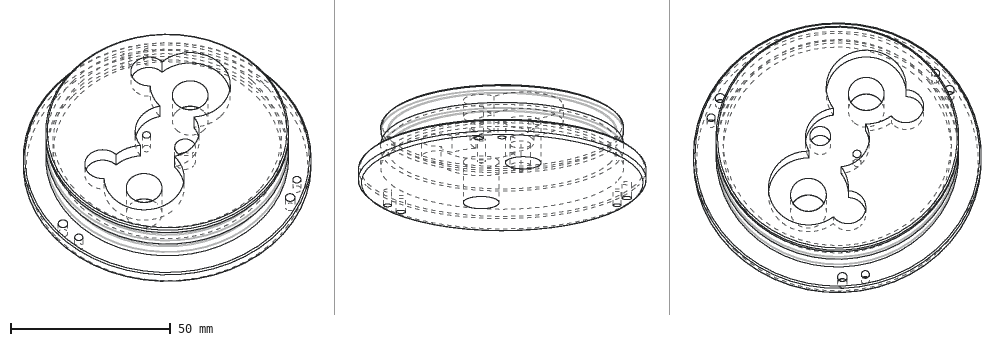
import cadquery as cq
import math

FLANGE_DIAMETER = 90.0
RIDGE_DIAMETER = 76.0
GROOVE_DIAMETER = 71.4
TOTAL_HEIGHT = 19.0
RIDGE_HEIGHT = 2.0
GROOVE_HEIGHT = 4.05
GROOVE_COUNT = 2
FLANGE_HEIGHT = TOTAL_HEIGHT - RIDGE_HEIGHT - GROOVE_COUNT * (RIDGE_HEIGHT + GROOVE_HEIGHT)
FLANGE_BOTTOM_CHAMFER = 1.0
TOP_CHAMFER = 0.5
GROOVE_FLOOR_FILLET = 0.3
RIDGE_EDGE_FILLET = 0.2

POCKET_DEPTH = 5.5
POCKET_FLOOR = TOTAL_HEIGHT - POCKET_DEPTH
PORT_OFFSET_Y = 19.35
PORT_POCKET_DIAMETER = 25.0
PORT_HOLE_DIAMETER = 11.2
SIDE_LOBE_DIAMETER = 11.2
SIDE_LOBE_X = -13.95
CENTER_POCKET_DIAMETER = 20.0

LARGE_DRILL_DIAMETER = 6.5
LARGE_DRILL_X = 6.0
SMALL_DRILL_DIAMETER = 2.5
SMALL_DRILL_X = -6.9
DRILL_DEPTH = 7.2
DRILL_POINT_ANGLE = 118.0

FLANGE_HOLE_RADIUS = 41.4
FLANGE_HOLE_PAIRS = 3
FASTENER_DIAMETER = 3.0
PIN_DIAMETER = 2.5
PIN_ANGLE = 10.0


def cylinder(diameter, x, y, bottom, top):
    """Vertical cylinder between two heights."""
    return cq.Workplane("XY", origin=(x, y, bottom)).circle(diameter / 2).extrude(top - bottom)


def make_body():
    flange = cylinder(FLANGE_DIAMETER, 0, 0, 0, FLANGE_HEIGHT)
    flange = flange.faces("<Z").chamfer(FLANGE_BOTTOM_CHAMFER)
    flange = flange.faces(">Z").chamfer(TOP_CHAMFER)
    plug = cylinder(RIDGE_DIAMETER, 0, 0, FLANGE_HEIGHT, TOTAL_HEIGHT)
    plug = plug.faces(">Z").chamfer(TOP_CHAMFER)
    for index in range(GROOVE_COUNT):
        bottom = FLANGE_HEIGHT + RIDGE_HEIGHT + index * (RIDGE_HEIGHT + GROOVE_HEIGHT)
        plug = plug.cut(make_groove_ring(bottom))
    return flange.union(plug)


def make_groove_ring(bottom):
    """Ring of removed material, rounded at the groove floor and flared at its mouth."""
    floor_radius = GROOVE_DIAMETER / 2
    mouth_radius = RIDGE_DIAMETER / 2
    top = bottom + GROOVE_HEIGHT
    inner = GROOVE_FLOOR_FILLET
    edge = RIDGE_EDGE_FILLET
    inner_sag = inner * (1 - math.sqrt(0.5))
    edge_sag = edge * (1 - math.sqrt(0.5))
    return (
        cq.Workplane("XZ")
        .moveTo(floor_radius, bottom + inner)
        .threePointArc((floor_radius + inner_sag, bottom + inner_sag), (floor_radius + inner, bottom))
        .lineTo(mouth_radius - edge, bottom)
        .threePointArc((mouth_radius - edge_sag, bottom - edge_sag), (mouth_radius, bottom - edge))
        .lineTo(mouth_radius, top + edge)
        .threePointArc((mouth_radius - edge_sag, top + edge_sag), (mouth_radius - edge, top))
        .lineTo(floor_radius + inner, top)
        .threePointArc((floor_radius + inner_sag, top - inner_sag), (floor_radius, top - inner))
        .close()
        .revolve(360, (0, 0, 0), (0, 1, 0))
    )


def make_pocket():
    pocket = cylinder(CENTER_POCKET_DIAMETER, 0, 0, POCKET_FLOOR, TOTAL_HEIGHT)
    for y in (-PORT_OFFSET_Y, PORT_OFFSET_Y):
        pocket = pocket.union(cylinder(PORT_POCKET_DIAMETER, 0, y, POCKET_FLOOR, TOTAL_HEIGHT))
        pocket = pocket.union(cylinder(SIDE_LOBE_DIAMETER, SIDE_LOBE_X, y, POCKET_FLOOR, TOTAL_HEIGHT))
        pocket = pocket.union(cylinder(PORT_HOLE_DIAMETER, 0, y, 0, TOTAL_HEIGHT))
    return pocket


def make_drill(diameter, x):
    """Blind hole with a conical end, sunk from the pocket floor."""
    radius = diameter / 2
    point_height = radius / math.tan(math.radians(DRILL_POINT_ANGLE / 2))
    return (
        cq.Workplane("XZ", origin=(x, 0, POCKET_FLOOR))
        .lineTo(radius, 0)
        .lineTo(radius, -DRILL_DEPTH)
        .lineTo(0, -DRILL_DEPTH - point_height)
        .close()
        .revolve(360, (0, 0, 0), (0, 1, 0))
    )


def cut_flange_holes(body):
    for index in range(FLANGE_HOLE_PAIRS):
        pair_angle = index * 360 / FLANGE_HOLE_PAIRS
        for diameter, offset in ((FASTENER_DIAMETER, 0), (PIN_DIAMETER, PIN_ANGLE)):
            angle = math.radians(pair_angle + offset)
            x = FLANGE_HOLE_RADIUS * math.cos(angle)
            y = FLANGE_HOLE_RADIUS * math.sin(angle)
            body = body.cut(cylinder(diameter, x, y, 0, FLANGE_HEIGHT))
    return body


result = make_body().cut(make_pocket())
result = result.cut(make_drill(LARGE_DRILL_DIAMETER, LARGE_DRILL_X))
result = result.cut(make_drill(SMALL_DRILL_DIAMETER, SMALL_DRILL_X))
result = cut_flange_holes(result)